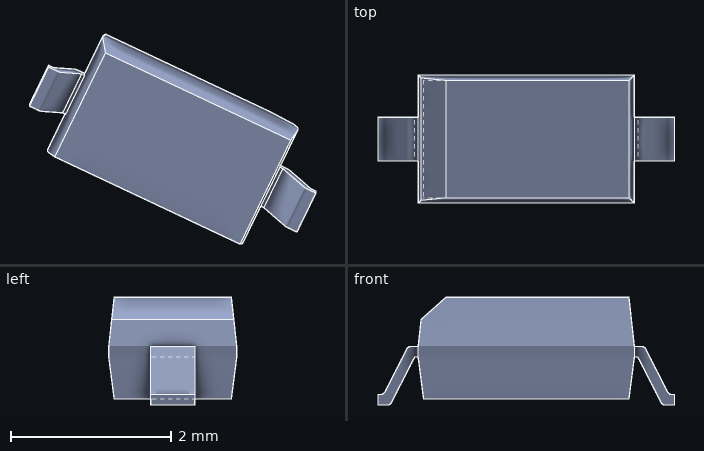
import cadquery as cq
import math

body_length = 2.7
body_width = 1.6
body_bottom_z = 0.075
body_top_z = 1.35
taper_inset = 0.068

chamfer_top_setback = 0.35
chamfer_drop = 0.28

overall_length = 3.7
lead_thickness = 0.135
lead_width = 0.55
lead_bend_angle = 63.0
lead_rise = 0.6
lead_foot_length = 0.07
lead_bend_radius = 0.06

band_bottom_z = lead_rise
band_top_z = lead_rise + lead_thickness


def tapered_half(band_face_z, end_face_z):
    """Frustum from the full outline at the band to the inset outline at the end."""
    return (
        cq.Workplane("XY", origin=(0, 0, band_face_z))
        .rect(body_length, body_width)
        .workplane(offset=end_face_z - band_face_z)
        .rect(body_length - 2 * taper_inset, body_width - 2 * taper_inset)
        .loft(ruled=True)
    )


def chamfer_cutter():
    """Triangular prism that removes the top edge at the -X end."""
    end_x = -body_length / 2
    chamfer_top_x = end_x + chamfer_top_setback
    chamfer_bottom_z = body_top_z - chamfer_drop
    taper_per_height = taper_inset / (body_top_z - band_top_z)
    chamfer_bottom_x = end_x + taper_per_height * (chamfer_bottom_z - band_top_z)
    slope = chamfer_drop / (chamfer_top_x - chamfer_bottom_x)
    outer_z = body_top_z - slope * chamfer_top_setback
    return (
        cq.Workplane("XZ")
        .polyline([(chamfer_top_x, body_top_z), (end_x, outer_z), (end_x, body_top_z)])
        .close()
        .extrude(body_width / 2, both=True)
    )


def make_body():
    band = (
        cq.Workplane("XY", origin=(0, 0, band_bottom_z))
        .rect(body_length, body_width)
        .extrude(lead_thickness)
    )
    upper = tapered_half(band_top_z, body_top_z).cut(chamfer_cutter())
    lower = tapered_half(band_bottom_z, body_bottom_z)
    return band.union(upper).union(lower)


def make_lead(side):
    """Bent strip butting on the band's end face; side is -1 or +1 along X."""
    bend = math.radians(lead_bend_angle)
    slope_run = lead_rise / math.tan(bend)
    bend_shift = lead_thickness * math.tan(bend / 2)

    tip_x = overall_length / 2
    root_x = body_length / 2
    upper_foot_x = tip_x - lead_foot_length
    lower_foot_x = upper_foot_x - bend_shift
    upper_shoulder_x = upper_foot_x - slope_run
    lower_shoulder_x = lower_foot_x - slope_run

    profile = [
        (root_x, band_top_z),
        (upper_shoulder_x, band_top_z),
        (upper_foot_x, lead_thickness),
        (tip_x, lead_thickness),
        (tip_x, 0),
        (lower_foot_x, 0),
        (lower_shoulder_x, band_bottom_z),
        (root_x, band_bottom_z),
    ]
    rounded_bends = [
        (upper_shoulder_x, band_top_z),
        (upper_foot_x, lead_thickness),
        (lower_foot_x, 0),
    ]

    lead = (
        cq.Workplane("XZ")
        .polyline([(side * x, z) for x, z in profile])
        .close()
        .extrude(lead_width / 2, both=True)
    )
    for x, z in rounded_bends:
        bend_edge = cq.selectors.NearestToPointSelector((side * x, 0, z))
        lead = lead.edges("|Y").edges(bend_edge).fillet(lead_bend_radius)
    return lead


body = make_body()
leads = [make_lead(side) for side in (-1, 1)]

result = cq.Compound.makeCompound([body.val(), *[lead.val() for lead in leads]])